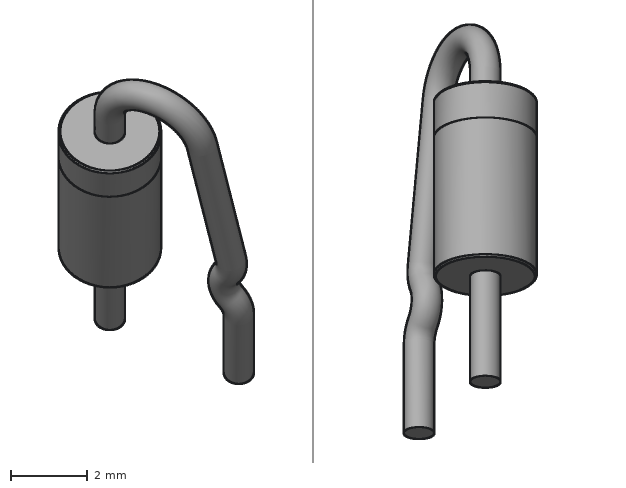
import cadquery as cq
import math

body_diameter = 2.7
body_bottom = 3.0
band_bottom = 6.94
body_top = 8.0
edge_chamfer = 0.05

wire_diameter = 0.8
overall_height = 10.57
overall_width = 5.56
hook_radius = 1.37
slope_angle = 11.1
kink_radius = 0.82
kink_in_angle = 31.5
kink_out_angle = 43.5

wire_radius = wire_diameter / 2
hook_center_z = overall_height - wire_radius - hook_radius
tail_x = overall_width - body_diameter / 2 - wire_radius


def body_section(bottom, top, chamfered_edge):
    """A bored cylinder around the wire with one chamfered outer rim."""
    cylinder = cq.Workplane("XY").workplane(offset=bottom).circle(body_diameter / 2).extrude(top - bottom)
    cylinder = cylinder.edges(chamfered_edge).chamfer(edge_chamfer)
    bore = cq.Workplane("XY").workplane(offset=bottom).circle(wire_radius).extrude(top - bottom)
    return cylinder.cut(bore)


def arc_step(point, start_lean, end_lean):
    """Middle and end of a downward kink arc; leans are degrees from vertical, positive towards +X."""
    turn = math.copysign(1, end_lean - start_lean)

    def at(lean):
        start, end = math.radians(start_lean), math.radians(lean)
        dx = turn * kink_radius * (math.cos(start) - math.cos(end))
        dz = -turn * kink_radius * (math.sin(end) - math.sin(start))
        return point[0] + dx, point[1] + dz

    return at((start_lean + end_lean) / 2), at(end_lean)


def wire_path():
    """Centerline of the wire in the XZ plane, from the straight foot to the kinked tail."""
    slope = math.radians(slope_angle)
    hook_end = (
        hook_radius * (1 + math.cos(slope)),
        hook_center_z + hook_radius * math.sin(slope),
    )
    leans = [slope_angle, -kink_in_angle, kink_out_angle, 0]
    lean_pairs = list(zip(leans, leans[1:]))

    kink_offset = (0, 0)
    for start_lean, end_lean in lean_pairs:
        _, kink_offset = arc_step(kink_offset, start_lean, end_lean)
    slope_run = tail_x - kink_offset[0] - hook_end[0]
    point = (hook_end[0] + slope_run, hook_end[1] - slope_run / math.tan(slope))

    path = (
        cq.Workplane("XZ")
        .moveTo(0, 0)
        .lineTo(0, hook_center_z)
        .threePointArc((hook_radius, hook_center_z + hook_radius), hook_end)
        .lineTo(*point)
    )
    for start_lean, end_lean in lean_pairs:
        middle, point = arc_step(point, start_lean, end_lean)
        path = path.threePointArc(middle, point)
    return path.lineTo(tail_x, 0)


sleeve = body_section(body_bottom, band_bottom, "<Z")
band = body_section(band_bottom, body_top, ">Z")
wire = cq.Workplane("XY").circle(wire_radius).sweep(wire_path())

result = cq.Compound.makeCompound([sleeve.val(), band.val(), wire.val()])